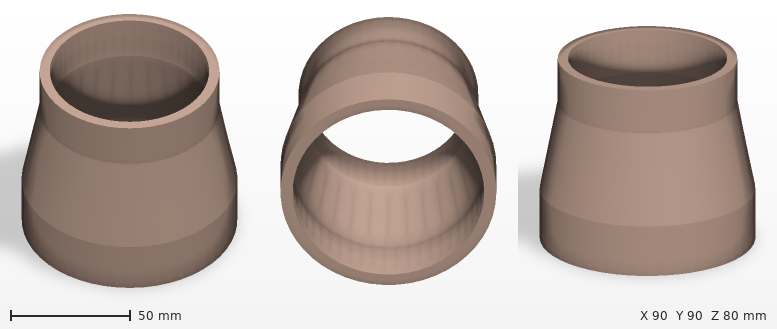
import cadquery as cq

large_diameter = 90.0
small_diameter = 75.0
small_bore = 66.4
large_bore = 79.8

total_height = 80.0
large_end_height = 22.05
small_end_height = 19.1
cone_top = total_height - small_end_height


def stepped_cone(large_radius, small_radius):
    """Solid with a straight large end, a taper and a straight small end."""
    return (
        cq.Workplane("XZ")
        .moveTo(0, 0)
        .lineTo(large_radius, 0)
        .lineTo(large_radius, large_end_height)
        .lineTo(small_radius, cone_top)
        .lineTo(small_radius, total_height)
        .lineTo(0, total_height)
        .close()
        .revolve(360, (0, 0, 0), (0, 1, 0))
    )


body = stepped_cone(large_diameter / 2, small_diameter / 2)
bore = stepped_cone(large_bore / 2, small_bore / 2)

result = body.cut(bore)